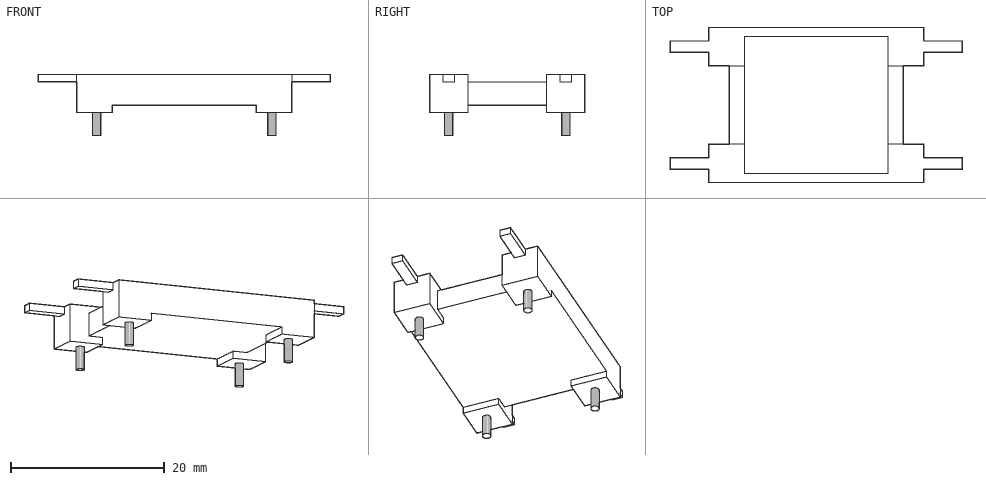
import cadquery as cq

overall_length = 38.05
overall_width = 20.25
overall_height = 8.0

rail_length = 28.05
rail_width = 5.02
rail_height = 5.0
notch_depth = 0.95

plate_length = 22.7
plate_drop = 1.0
pocket_length = 18.73
pocket_width = 17.9
pocket_depth = 1.98

lead_width = 1.52
lead_height = 1.0

pin_facets = 24
pin_diameter = 1.1
pin_spacing_x = 22.85
pin_spacing_y = 15.3

rail_spacing = overall_width - rail_width
plate_thickness = rail_height - notch_depth - plate_drop
pin_length = overall_height - rail_height
cut_margin = 0.38


def block_below(length, width, height, top_z=0.0, y=0.0):
    """Block centred on X = 0 whose top face is at top_z."""
    block = cq.Workplane("XY").box(length, width, height, centered=(True, True, False))
    return block.translate((0, y, top_z - height))


body = block_below(plate_length, rail_spacing, plate_thickness, top_z=-plate_drop)

for side in (-1, 1):
    rail_y = side * rail_spacing / 2
    body = body.union(block_below(rail_length, rail_width, rail_height, y=rail_y))
    body = body.union(block_below(overall_length, lead_width, lead_height, y=rail_y))

notch = block_below(
    pocket_length,
    overall_width + 2 * cut_margin,
    notch_depth + cut_margin,
    top_z=notch_depth - rail_height,
)
body = body.cut(notch)

body = body.cut(block_below(pocket_length, pocket_width, pocket_depth))

pins = (
    cq.Workplane("XY", origin=(0, 0, -rail_height))
    .rarray(pin_spacing_x, pin_spacing_y, 2, 2)
    .polygon(pin_facets, pin_diameter)
    .extrude(-pin_length)
)

result = body.union(pins)